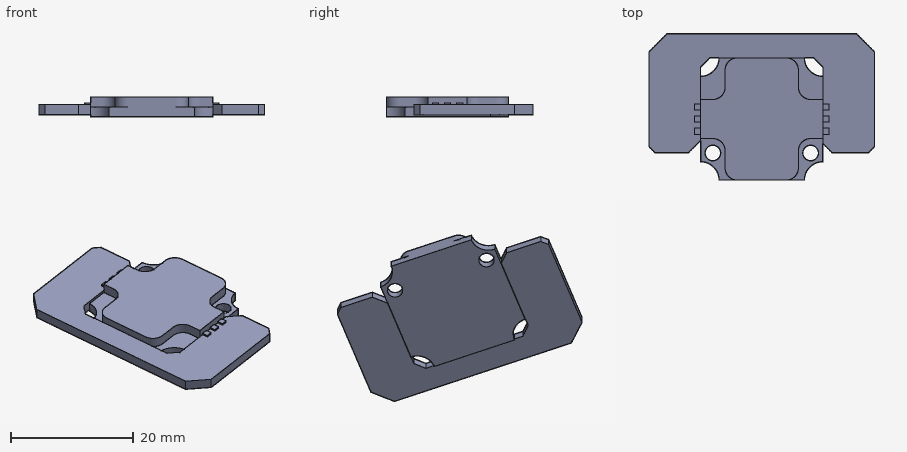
import cadquery as cq


module_side = 20.0
module_height = 3.3
base_height = 1.6
base_notch_radius = 3.0
block_notch_x = 4.0
block_notch_y = 6.8
block_corner_radius = 2.0
hole_diameter = 2.5
hole_inset_x = 2.0
hole_inset_y = 4.45

frame_width = 37.0
frame_length = 19.55
frame_back_width = 4.0
frame_bottom = 0.35
frame_thickness = 1.7
back_chamfer = 3.0
front_chamfer = 1.0
inner_back_chamfer = 1.5
left_tip_chamfer = 2.0
right_tip_chamfer = 1.5

pad_side = 1.0
pad_height = 0.25
pad_pitch = 2.0
pads_per_side = 3

half_module = module_side / 2
half_frame = frame_width / 2
frame_back_y = half_module + frame_back_width
frame_front_y = frame_back_y - frame_length
frame_top = frame_bottom + frame_thickness


def make_module():
    corners = [(sx * half_module, sy * half_module) for sx in (-1, 1) for sy in (-1, 1)]
    base = cq.Workplane("XY").rect(module_side, module_side).extrude(base_height)
    corner_cuts = cq.Workplane("XY").pushPoints(corners).circle(base_notch_radius).extrude(base_height)

    block_height = module_height - base_height
    block_plane = cq.Workplane("XY").workplane(offset=base_height)
    bar_width = module_side - 2 * block_notch_x
    bar_length = module_side - 2 * block_notch_y
    lengthwise_bar = block_plane.rect(bar_width, module_side).extrude(block_height)
    lengthwise_bar = lengthwise_bar.edges("|Z").fillet(block_corner_radius)
    crosswise_bar = block_plane.rect(module_side, bar_length).extrude(block_height)
    block = lengthwise_bar.union(crosswise_bar)
    inner_edges = cq.selectors.BoxSelector(
        (-block_corner_radius - bar_width / 2, -bar_length, 0),
        (block_corner_radius + bar_width / 2, bar_length, module_height),
    )
    block = block.edges("|Z").edges(inner_edges).fillet(block_corner_radius)

    hole_x = half_module - hole_inset_x
    hole_y = -half_module + hole_inset_y
    holes = (
        cq.Workplane("XY")
        .pushPoints([(-hole_x, hole_y), (hole_x, hole_y)])
        .circle(hole_diameter / 2)
        .extrude(base_height)
    )
    return base.cut(corner_cuts).cut(holes).union(block)


def make_pads():
    pads = cq.Workplane("XY").workplane(offset=frame_top)
    pad_x = half_module + pad_side / 2
    centres = [
        (side * pad_x, (i - (pads_per_side - 1) / 2) * pad_pitch)
        for side in (-1, 1)
        for i in range(pads_per_side)
    ]
    return pads.pushPoints(centres).rect(pad_side, pad_side).extrude(pad_height)


def make_frame():
    outline = [
        (-half_frame + front_chamfer, frame_front_y),
        (-half_frame, frame_front_y + front_chamfer),
        (-half_frame, frame_back_y - back_chamfer),
        (-half_frame + back_chamfer, frame_back_y),
        (half_frame - back_chamfer, frame_back_y),
        (half_frame, frame_back_y - back_chamfer),
        (half_frame, frame_front_y + front_chamfer),
        (half_frame - front_chamfer, frame_front_y),
        (half_module + right_tip_chamfer, frame_front_y),
        (half_module, frame_front_y + right_tip_chamfer),
        (half_module, half_module - inner_back_chamfer),
        (half_module - inner_back_chamfer, half_module),
        (-half_module + inner_back_chamfer, half_module),
        (-half_module, half_module - inner_back_chamfer),
        (-half_module, frame_front_y + left_tip_chamfer),
        (-half_module - left_tip_chamfer, frame_front_y),
    ]
    board = cq.Workplane("XY").workplane(offset=frame_bottom).polyline(outline).close()
    return board.extrude(frame_thickness).union(make_pads())


module = make_module()
frame = make_frame()
result = cq.Compound.makeCompound([module.val(), frame.val()])